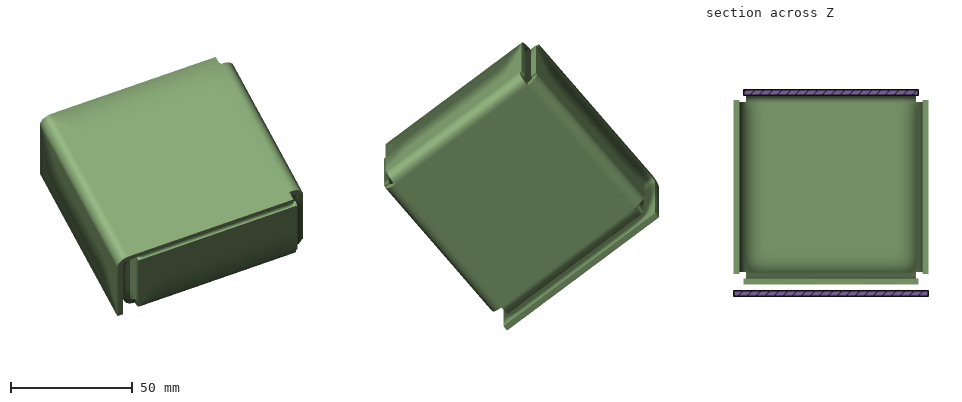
import cadquery as cq

length = 85.0
width = 80.0
height = 40.0
bend = 5.0
sheet = bend / 2
lip_bottom = 2.0
back_inset = 4.2
side_inset = 4.3
lid_notch = 6.2

tray = width
half = tray / 2
rear = length / 2
tray_center_y = rear - half
wall_height = height - 2 * bend
inner_bend = bend - sheet


def box(size_x, size_y, size_z, center_x, center_y, bottom):
    """Axis-aligned block placed by its plan center and its bottom."""
    return (
        cq.Workplane("XY")
        .box(size_x, size_y, size_z, centered=(True, True, False))
        .translate((center_x, center_y, bottom))
    )


def bend_along_x(span):
    """Quarter bend from a floor toward +Y up to a wall, with its axis on the X axis."""
    diagonal = 0.5 ** 0.5
    return (
        cq.Workplane("YZ")
        .moveTo(0, -bend)
        .threePointArc((bend * diagonal, -bend * diagonal), (bend, 0))
        .lineTo(inner_bend, 0)
        .threePointArc((inner_bend * diagonal, -inner_bend * diagonal), (0, -inner_bend))
        .close()
        .extrude(span / 2, both=True)
    )


def tray_wall(wall_inset):
    """Rear wall and its lower bend, before turning about the tray center."""
    wall = box(tray - 2 * wall_inset, sheet, wall_height, 0, half - sheet / 2, bend)
    corner = bend_along_x(tray - 2 * bend).translate((0, half - bend, bend))
    return wall.union(corner)


def make_tray():
    """Floor with four bent-up walls and open corners."""
    floor_size = tray - 2 * bend
    body = box(floor_size, floor_size, sheet, 0, 0, 0)
    for quarter_turn, inset in enumerate([back_inset, side_inset] * 2):
        wall = tray_wall(inset).rotate((0, 0, 0), (0, 0, 1), 90 * quarter_turn)
        body = body.union(wall)
    return body.translate((0, tray_center_y, 0))


def make_lid():
    """Top sheet joined to the rear wall and bent down over the front."""
    lid_bottom = height - sheet
    bend_height = height - bend
    front_line = -rear + bend
    rear_line = rear - bend
    notch_line = rear - lid_notch
    neck_width = tray - 2 * back_inset

    top_depth = notch_line - front_line
    top = box(width, top_depth, sheet, 0, (notch_line + front_line) / 2, lid_bottom)
    neck_depth = rear_line - notch_line
    neck = box(neck_width, neck_depth, sheet, 0, (rear_line + notch_line) / 2, lid_bottom)

    rear_bend = bend_along_x(neck_width).mirror("XY").translate((0, rear_line, bend_height))
    front_bend = (
        bend_along_x(width)
        .rotate((0, 0, 0), (1, 0, 0), 180)
        .translate((0, front_line, bend_height))
    )
    lip_height = bend_height - lip_bottom
    lip = box(width, sheet, lip_height, 0, -rear + sheet / 2, lip_bottom)
    return top.union(neck).union(rear_bend).union(front_bend).union(lip)


result = make_tray().union(make_lid())